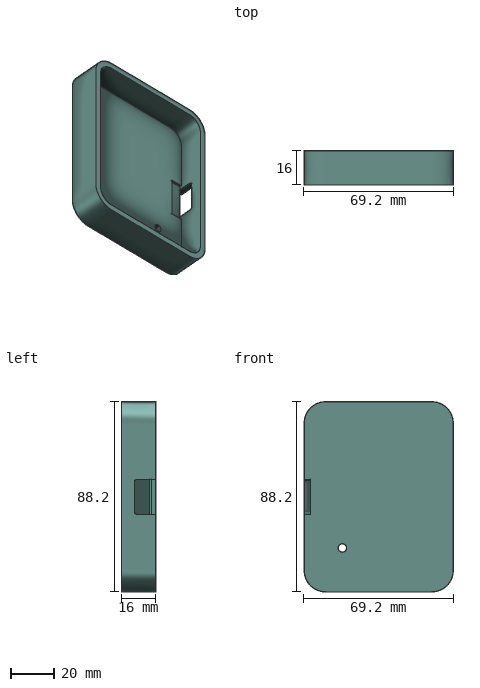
import cadquery as cq

width = 69.15
depth = 16.0
height = 88.2
corner_radius = 10.0

wall = 3.0
plate_thickness = 3.0

window_height = 16.2
window_depth = 10.0
window_fillet = 1.2

recess_depth = 1.0
recess_length = 6.0
recess_side_margin = 2.0

hole_diameter = 3.75
hole_x = -16.85
hole_z = -23.7


def rounded_block(size_x, size_z, radius, y_start, y_end):
    """Block along Y, centred on the Y axis, with rounded corners in XZ."""
    length = y_end - y_start
    block = cq.Workplane("XY").box(size_x, length, size_z)
    return block.edges("|Y").fillet(radius).translate((0, y_start + length / 2, 0))


def cavity():
    """Inside of the case, open at the back."""
    return rounded_block(
        width - 2 * wall, height - 2 * wall, corner_radius - wall, plate_thickness, depth
    )


def connector_window():
    """Cutter as deep as the wall is thick, rounded at its two back corners."""
    block = cq.Workplane("XY").box(wall, window_depth, window_height)
    block = block.faces(">Y").edges("|X").fillet(window_fillet)
    return block.translate(((wall - width) / 2, window_depth / 2, 0))


def connector_recess():
    """Thins the front plate next to the window, a little past both ends of the window."""
    recess_height = window_height + 2 * recess_side_margin
    block = cq.Workplane("XY").box(recess_length, recess_depth, recess_height)
    center_x = wall + (recess_length - width) / 2
    center_y = plate_thickness - recess_depth / 2
    return block.translate((center_x, center_y, 0))


def plate_hole():
    """Cutter for the round hole through the front plate."""
    hole = cq.Workplane("XZ").center(hole_x, hole_z).circle(hole_diameter / 2)
    return hole.extrude(-depth)


case = rounded_block(width, height, corner_radius, 0, depth)
case = case.cut(cavity())
case = case.cut(connector_window())
case = case.cut(connector_recess())
result = case.cut(plate_hole())